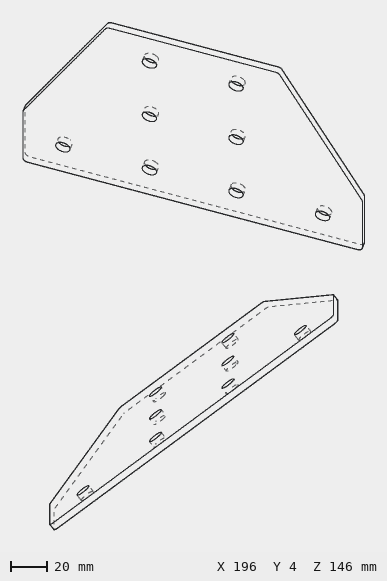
import cadquery as cq

width = 196.0
height = 146.0
thickness = 4.0
top_width = 99.2
side_height = 47.0
corner_radius = 3.0

hole_diameter = 8.2
hole_pitch = 50.0
bottom_hole_height = 23.0
holes_per_row = (4, 2, 2)


def plate():
    """Tapered plate with every outline corner rounded."""
    outline = [
        (-width / 2, 0),
        (width / 2, 0),
        (width / 2, side_height),
        (top_width / 2, height),
        (-top_width / 2, height),
        (-width / 2, side_height),
    ]
    body = cq.Workplane("XZ").polyline(outline).close().extrude(thickness)
    return body.edges("|Y").fillet(corner_radius)


def hole_centers():
    """Centers of the holes, each row centered on X = 0."""
    centers = []
    for row, count in enumerate(holes_per_row):
        z = bottom_hole_height + row * hole_pitch
        for column in range(count):
            x = (column - (count - 1) / 2) * hole_pitch
            centers.append((x, z))
    return centers


holes = (
    cq.Workplane("XZ")
    .pushPoints(hole_centers())
    .circle(hole_diameter / 2)
    .extrude(thickness)
)

result = plate().cut(holes)